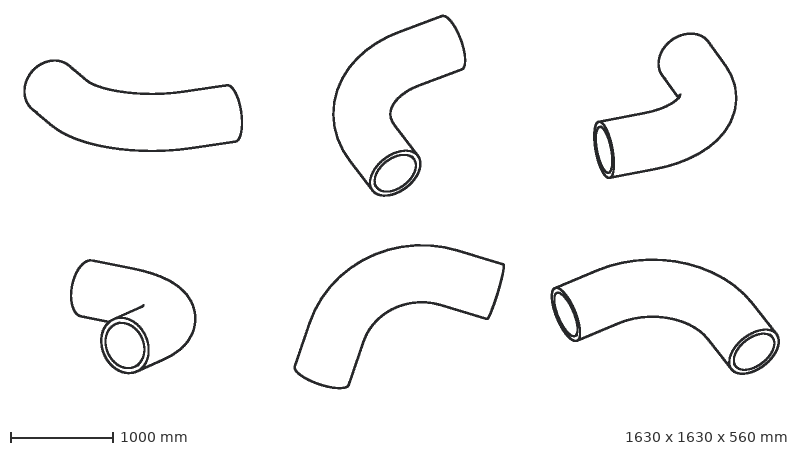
import cadquery as cq

outer_diameter = 560.0
bore_diameter = 458.0

overall_length = 1630.0
leg_length = 475.0
bend_radius = overall_length - outer_diameter / 2 - leg_length


def bent_rod(diameter):
    """Solid round rod along the elbow centreline, from the -X end to the +Y end."""
    inlet_leg = cq.Workplane("YZ").circle(diameter / 2).extrude(leg_length)
    bend = (
        cq.Workplane("YZ", origin=(leg_length, 0, 0))
        .circle(diameter / 2)
        .revolve(90, (bend_radius, 0, 0), (bend_radius, 1, 0))
    )
    outlet_leg = (
        cq.Workplane("XZ", origin=(leg_length + bend_radius, bend_radius, 0))
        .circle(diameter / 2)
        .extrude(-leg_length)
    )
    return inlet_leg.union(bend).union(outlet_leg)


result = bent_rod(outer_diameter).cut(bent_rod(bore_diameter))